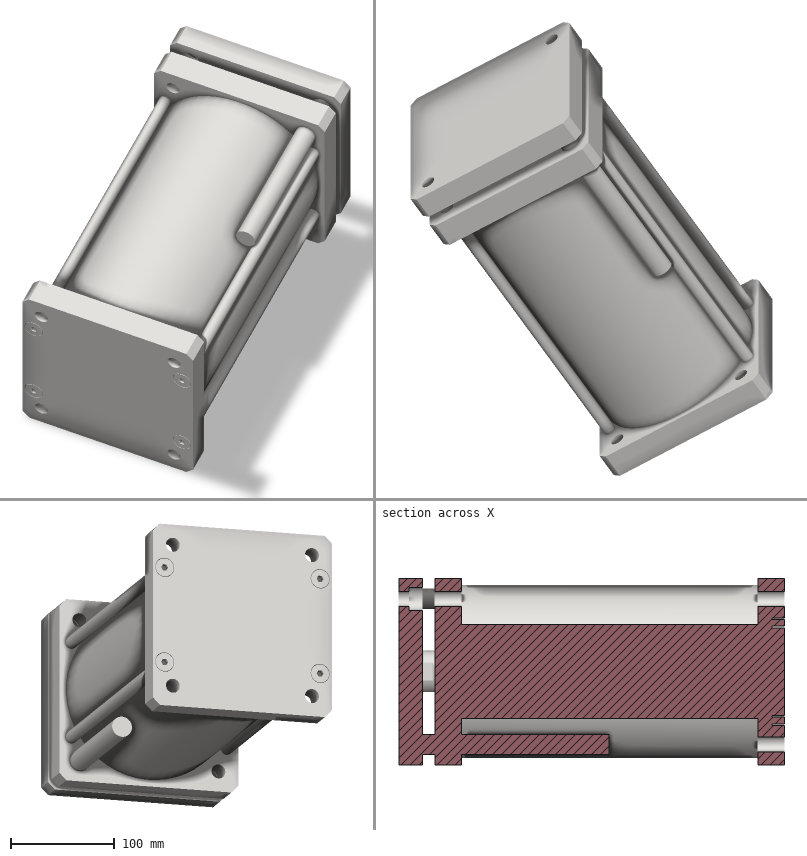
import cadquery as cq

PLATE_SIDE = 180.0
CORNER_CHAMFER = 7.0
COVER_THICKNESS = 26.0
HEAD_THICKNESS = 26.0
TOOL_PLATE_THICKNESS = 23.0

BARREL_DIAMETER = 167.0
BARREL_LENGTH = 285.0

PLATE_GAP = 12.0
PISTON_ROD_DIAMETER = 40.0
PISTON_ROD_CHAMFER = 1.0
WRENCH_FLAT_WIDTH = 36.0

CORNER_OFFSET = 70.0
GUIDE_ROD_DIAMETER = 20.0
GUIDE_ROD_LENGTH = 180.0
CORNER_HOLE_DIAMETER = 13.84
TOOL_COUNTERBORE_DIAMETER = 22.0
TOOL_COUNTERBORE_DEPTH = 13.0

TIE_OFFSET_X = 78.2
TIE_OFFSET_Z = 47.0
TIE_ROD_DIAMETER = 12.0
TIE_HEAD_DIAMETER = 18.0
TIE_COUNTERBORE_DIAMETER = 19.0
TIE_HEAD_HEIGHT = 12.0
SOCKET_ACROSS_CORNERS = 7.0
SOCKET_DEPTH = 6.0

BARREL_START = COVER_THICKNESS
HEAD_START = BARREL_START + BARREL_LENGTH
GAP_START = HEAD_START + HEAD_THICKNESS
TOOL_PLATE_START = GAP_START + PLATE_GAP

GUIDE_CORNERS = [(CORNER_OFFSET, CORNER_OFFSET), (-CORNER_OFFSET, -CORNER_OFFSET)]
OPEN_CORNERS = [(-CORNER_OFFSET, CORNER_OFFSET), (CORNER_OFFSET, -CORNER_OFFSET)]
TIE_POSITIONS = [(sx * TIE_OFFSET_X, sz * TIE_OFFSET_Z) for sx in (-1, 1) for sz in (-1, 1)]


def section(y):
    """Workplane facing -Y at station y: local x is X, local y is Z."""
    return cq.Workplane("XZ", origin=(0, y, 0))


def cylinders(positions, diameter, y_start, length):
    """Equal cylinders along +Y at the given (x, z) positions."""
    return section(y_start).pushPoints(positions).circle(diameter / 2).extrude(-length)


def plate(y_start, thickness):
    """Square plate with its four corners chamfered."""
    block = section(y_start).rect(PLATE_SIDE, PLATE_SIDE).extrude(-thickness)
    return block.edges("|Y").chamfer(CORNER_CHAMFER)


def front_cover():
    """Cover plate with four corner holes and an annular gap round each tie rod head."""
    cover = plate(0, COVER_THICKNESS)
    cover = cover.cut(cylinders(GUIDE_CORNERS + OPEN_CORNERS, CORNER_HOLE_DIAMETER, 0, COVER_THICKNESS))
    cover = cover.cut(cylinders(TIE_POSITIONS, TIE_COUNTERBORE_DIAMETER, 0, TIE_HEAD_HEIGHT))
    heads = cylinders(TIE_POSITIONS, TIE_HEAD_DIAMETER, 0, TIE_HEAD_HEIGHT)
    sockets = section(0).pushPoints(TIE_POSITIONS).polygon(6, SOCKET_ACROSS_CORNERS).extrude(-SOCKET_DEPTH)
    return cover.union(heads.cut(sockets))


def head():
    """Head plate with two open corner holes."""
    holes = cylinders(OPEN_CORNERS, CORNER_HOLE_DIAMETER, HEAD_START, HEAD_THICKNESS)
    return plate(HEAD_START, HEAD_THICKNESS).cut(holes)


def tool_plate():
    """Moving plate with two open corner holes, counterbored towards the head."""
    holes = cylinders(OPEN_CORNERS, CORNER_HOLE_DIAMETER, TOOL_PLATE_START, TOOL_PLATE_THICKNESS)
    counterbores = cylinders(
        OPEN_CORNERS, TOOL_COUNTERBORE_DIAMETER, TOOL_PLATE_START, TOOL_COUNTERBORE_DEPTH
    )
    return plate(TOOL_PLATE_START, TOOL_PLATE_THICKNESS).cut(holes).cut(counterbores)


def piston_rod():
    """Exposed rod with a chamfered end and wrench flats on -X and +X that run out at 45 degrees."""
    rod = cylinders([(0, 0)], PISTON_ROD_DIAMETER, GAP_START, PLATE_GAP)
    rod = rod.faces(">Y").chamfer(PISTON_ROD_CHAMFER)
    radius = PISTON_ROD_DIAMETER / 2
    flat_offset = WRENCH_FLAT_WIDTH / 2
    flat_depth = radius - flat_offset
    flat_cutter = (
        cq.Workplane("XY", origin=(0, GAP_START, 0))
        .moveTo(radius, 0)
        .lineTo(flat_offset, flat_depth)
        .lineTo(flat_offset, PLATE_GAP)
        .lineTo(radius, PLATE_GAP)
        .close()
        .extrude(radius, both=True)
    )
    return rod.cut(flat_cutter).cut(flat_cutter.mirror("YZ"))


barrel = cylinders([(0, 0)], BARREL_DIAMETER, BARREL_START, BARREL_LENGTH)
tie_rods = cylinders(TIE_POSITIONS, TIE_ROD_DIAMETER, BARREL_START, BARREL_LENGTH)
guide_rods = cylinders(
    GUIDE_CORNERS, GUIDE_ROD_DIAMETER, TOOL_PLATE_START - GUIDE_ROD_LENGTH, GUIDE_ROD_LENGTH
)

result = front_cover()
for component in (barrel, tie_rods, head(), guide_rods, piston_rod(), tool_plate()):
    result = result.union(component)